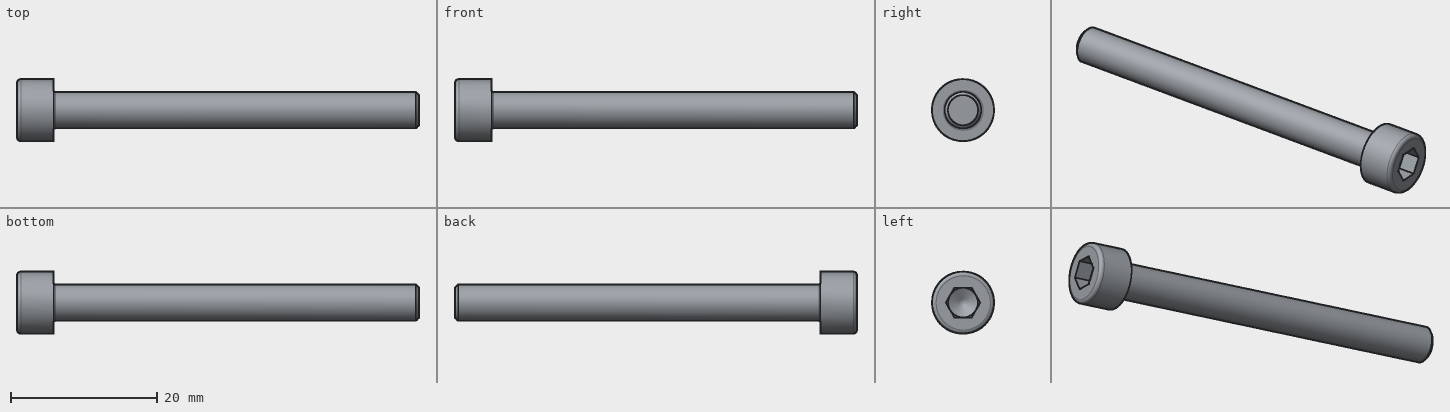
import cadquery as cq
import math

total_length = 55.0
head_diameter = 8.5
head_length = 5.0
head_edge_radius = 0.55
shank_diameter = 5.0
tip_chamfer = 0.45
under_head_fillet = 0.2
socket_across_flats = 4.05
socket_depth = 2.5
socket_cone_angle = 120.0

head_radius = head_diameter / 2
shank_radius = shank_diameter / 2
socket_corner_diameter = socket_across_flats / math.cos(math.radians(30))
socket_cone_depth = socket_across_flats / 2 / math.tan(math.radians(socket_cone_angle / 2))


def make_body():
    """Revolve the head and shank half-profile about the X axis."""
    profile = (
        cq.Workplane("XY")
        .lineTo(0, head_radius - head_edge_radius)
        .radiusArc((head_edge_radius, head_radius), head_edge_radius)
        .lineTo(head_length, head_radius)
        .lineTo(head_length, shank_radius + under_head_fillet)
        .radiusArc((head_length + under_head_fillet, shank_radius), -under_head_fillet)
        .lineTo(total_length - tip_chamfer, shank_radius)
        .lineTo(total_length, shank_radius - tip_chamfer)
        .lineTo(total_length, 0)
        .close()
    )
    return profile.revolve(360, (0, 0, 0), (1, 0, 0))


def make_socket():
    """Hexagonal key socket, corners on the Y axis, with a conical drill-point floor."""
    hexagon = cq.Workplane("YZ").polygon(6, socket_corner_diameter).extrude(socket_depth)
    cone = (
        cq.Workplane("XY")
        .moveTo(socket_depth, 0)
        .lineTo(socket_depth, socket_across_flats / 2)
        .lineTo(socket_depth + socket_cone_depth, 0)
        .close()
        .revolve(360, (0, 0, 0), (1, 0, 0))
    )
    return hexagon.union(cone)


result = make_body().cut(make_socket())